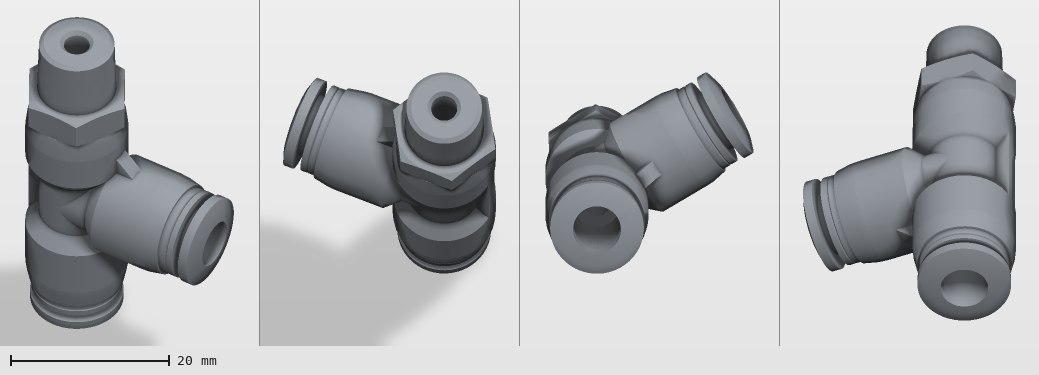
import cadquery as cq
import math

TOTAL_HEIGHT = 46.3
BRANCH_Z = 20.55
BRANCH_REACH = 20.2
BORE_RADIUS = 3.3 / 2
TUBE_RADIUS = 6.0 / 2
TUBE_DEPTH = 13.9

BODY_RADIUS = 13.0 / 2
BODY_NOSE_RADIUS = 6.05
WAIST_RADIUS = 4.8
WAIST_TOP = 24.4
UPPER_BODY_START = 26.6
UPPER_NOSE_START = 31.4
WAIST_BOTTOM = 16.3
LOWER_BODY_END = 14.4
BRANCH_NECK_END = 3.95
BRANCH_CONE_END = 5.9
RIB_THICKNESS = 2.1
GUSSET_LEG = 2.25

LIP_HEIGHT = 0.7
LIP_MID_HEIGHT = 0.25
LIP_BULGE = 0.15
FLANGE_RADIUS = 11.8 / 2
FLANGE_BACK = 1.9
COLLET_NECK_RADIUS = 8.1 / 2
SLEEVE_RADIUS = 11.5 / 2
SLEEVE_END = 2.95
GROOVE_START = 3.7
GROOVE_WIDTH = 0.3
GROOVE_DEPTH = 0.2
SLEEVE_ROOT = 4.9
NOSE_ROOT = 7.82

HEX_BOTTOM = 34.3
HEX_TOP = 38.3
HEX_FLATS = 12.05
HEX_CORNER_CHAMFER_ANGLE = 20.0
THREAD_BASE_RADIUS = 5.0
THREAD_TIP_RADIUS = 4.75
THREAD_CHAMFER_WIDTH = 0.6
THREAD_CHAMFER_HEIGHT = 0.32
MOUTH_CHAMFER = 0.45


def nose_mid_point(nose_z, root_z):
    """Point halfway along the shallow nose arc, close to tangent with the body cylinder.

    Halfway along, a shallow tangent arc has dropped a quarter of its full drop.
    """
    drop = BODY_RADIUS - BODY_NOSE_RADIUS
    return BODY_RADIUS - drop / 4, (nose_z + root_z) / 2


def collet_profile():
    """Half outline of a collet and the nose of its socket, open end at zero."""
    lip_mid = ((TUBE_RADIUS + FLANGE_RADIUS) / 2 + LIP_BULGE, LIP_MID_HEIGHT)
    return (
        cq.Workplane("XZ")
        .lineTo(TUBE_RADIUS, 0)
        .threePointArc(lip_mid, (FLANGE_RADIUS, LIP_HEIGHT))
        .lineTo(FLANGE_RADIUS, FLANGE_BACK)
        .lineTo(COLLET_NECK_RADIUS, FLANGE_BACK)
        .lineTo(COLLET_NECK_RADIUS, SLEEVE_END)
        .lineTo(SLEEVE_RADIUS, SLEEVE_END)
        .lineTo(SLEEVE_RADIUS, GROOVE_START)
        .lineTo(SLEEVE_RADIUS - GROOVE_DEPTH, GROOVE_START + GROOVE_WIDTH / 2)
        .lineTo(SLEEVE_RADIUS, GROOVE_START + GROOVE_WIDTH)
        .lineTo(SLEEVE_RADIUS, SLEEVE_ROOT)
        .lineTo(BODY_NOSE_RADIUS, SLEEVE_ROOT)
        .threePointArc(nose_mid_point(SLEEVE_ROOT, NOSE_ROOT), (BODY_RADIUS, NOSE_ROOT))
    )


def revolve_about_z(profile):
    return profile.close().revolve(360, (0, 0, 0), (0, 1, 0))


def make_run():
    """Vertical body with the lower collet and the waist."""
    profile = (
        collet_profile()
        .lineTo(BODY_RADIUS, LOWER_BODY_END)
        .lineTo(WAIST_RADIUS, WAIST_BOTTOM)
        .lineTo(WAIST_RADIUS, WAIST_TOP)
        .lineTo(BODY_RADIUS, UPPER_BODY_START)
        .lineTo(BODY_RADIUS, UPPER_NOSE_START)
        .threePointArc(nose_mid_point(HEX_BOTTOM, UPPER_NOSE_START), (BODY_NOSE_RADIUS, HEX_BOTTOM))
        .lineTo(0, HEX_BOTTOM)
    )
    return revolve_about_z(profile)


def point_along_branch(solid):
    """Turn a solid with its open end at Z = 0 so that end faces +X."""
    return solid.rotate((0, 0, 0), (0, 1, 0), -90).translate((BRANCH_REACH, 0, BRANCH_Z))


def make_branch():
    profile = (
        collet_profile()
        .lineTo(BODY_RADIUS, BRANCH_REACH - BRANCH_CONE_END)
        .lineTo(WAIST_RADIUS, BRANCH_REACH - BRANCH_NECK_END)
        .lineTo(WAIST_RADIUS, BRANCH_REACH)
        .lineTo(0, BRANCH_REACH)
    )
    return point_along_branch(revolve_about_z(profile))


def make_hexagon():
    """Hexagon whose corners are bevelled at both ends."""
    height = HEX_TOP - HEX_BOTTOM
    corner_radius = HEX_FLATS / math.sqrt(3)
    flat_radius = HEX_FLATS / 2
    bevel = (corner_radius - flat_radius) * math.tan(math.radians(HEX_CORNER_CHAMFER_ANGLE))
    prism = cq.Workplane("XY").polygon(6, 2 * corner_radius).extrude(height)
    envelope = revolve_about_z(
        cq.Workplane("XZ")
        .lineTo(flat_radius, 0)
        .lineTo(corner_radius, bevel)
        .lineTo(corner_radius, height - bevel)
        .lineTo(flat_radius, height)
        .lineTo(0, height)
    )
    return prism.intersect(envelope).translate((0, 0, HEX_BOTTOM))


def make_thread():
    """Plain tapered envelope of the thread."""
    return revolve_about_z(
        cq.Workplane("XZ")
        .moveTo(0, HEX_TOP)
        .lineTo(THREAD_BASE_RADIUS, HEX_TOP)
        .lineTo(THREAD_TIP_RADIUS, TOTAL_HEIGHT - THREAD_CHAMFER_HEIGHT)
        .lineTo(THREAD_TIP_RADIUS - THREAD_CHAMFER_WIDTH, TOTAL_HEIGHT)
        .lineTo(0, TOTAL_HEIGHT)
    )


def make_back_rib():
    """Rib across the waist, flush with the body cylinder on the -X side."""
    height = UPPER_BODY_START - LOWER_BODY_END
    plate = cq.Workplane("XY").box(BODY_RADIUS, RIB_THICKNESS, height, centered=(False, True, False))
    envelope = cq.Workplane("XY").circle(BODY_RADIUS).extrude(height)
    rib = plate.translate((-BODY_RADIUS, 0, 0)).intersect(envelope)
    return rib.translate((0, 0, LOWER_BODY_END))


def make_gussets():
    """One plate whose two 45 degree corners brace the branch above and below."""
    reach = BODY_RADIUS + GUSSET_LEG
    outline = [
        (BODY_RADIUS, -reach),
        (reach, -BODY_RADIUS),
        (reach, BODY_RADIUS),
        (BODY_RADIUS, reach),
        (WAIST_RADIUS, reach),
        (WAIST_RADIUS, -reach),
    ]
    plate = cq.Workplane("XZ").polyline(outline).close().extrude(RIB_THICKNESS / 2, both=True)
    return plate.translate((0, 0, BRANCH_Z))


def cylinder(radius, length):
    return cq.Workplane("XY").circle(radius).extrude(length)


def make_mouth_chamfer():
    """Conical lead-in at the threaded end of the bore."""
    return revolve_about_z(
        cq.Workplane("XZ")
        .moveTo(0, TOTAL_HEIGHT)
        .lineTo(BORE_RADIUS + MOUTH_CHAMFER, TOTAL_HEIGHT)
        .lineTo(BORE_RADIUS, TOTAL_HEIGHT - MOUTH_CHAMFER)
        .lineTo(0, TOTAL_HEIGHT - MOUTH_CHAMFER)
    )


solid_body = make_run()
for piece in (make_branch(), make_hexagon(), make_thread(), make_back_rib(), make_gussets()):
    solid_body = solid_body.union(piece)

tube_socket = cylinder(TUBE_RADIUS, TUBE_DEPTH)
result = (
    solid_body
    .cut(cylinder(BORE_RADIUS, TOTAL_HEIGHT))
    .cut(make_mouth_chamfer())
    .cut(tube_socket)
    .cut(point_along_branch(cylinder(BORE_RADIUS, BRANCH_REACH)))
    .cut(point_along_branch(tube_socket))
)